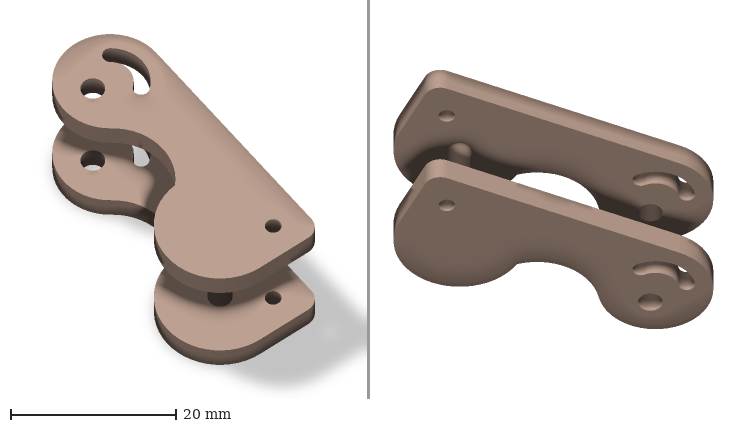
import cadquery as cq
import math

length = 40.05
total_height = 18.0
plate_thickness = 3.0

small_lobe_radius = 7.0
large_lobe_radius = 8.0
lobe_offset_y = 2.32
corner_radius = 2.0
cutout_radius = 7.6
cutout_center_x = 18.82

pin_diameter = 3.0
pivot_hole_offset_x = -0.4
small_hole_diameter = 2.0
small_hole_from_right = 3.95
small_hole_from_top = 4.33
slot_width = 2.05
slot_radius = 3.9
slot_half_angle = 52.0

small_lobe_x = small_lobe_radius
small_lobe_y = lobe_offset_y
large_lobe_x = length - large_lobe_radius
top_y = small_lobe_y + small_lobe_radius

center_distance = small_lobe_radius + cutout_radius
cutout_dx = cutout_center_x - small_lobe_x
cutout_center_y = small_lobe_y - math.sqrt(center_distance**2 - cutout_dx**2)


def polar(center_x, center_y, radius, degrees):
    """Point on a circle, with the angle counted from +X."""
    angle = math.radians(degrees)
    return center_x + radius * math.cos(angle), center_y + radius * math.sin(angle)


def cutout_lobe_corner():
    """Upper crossing of the cutout circle and the large lobe."""
    dx = large_lobe_x - cutout_center_x
    dy = -cutout_center_y
    distance = math.hypot(dx, dy)
    along = (distance**2 + cutout_radius**2 - large_lobe_radius**2) / (2 * distance)
    across = math.sqrt(cutout_radius**2 - along**2)
    corner_x = cutout_center_x + (along * dx - across * dy) / distance
    corner_y = cutout_center_y + (along * dy + across * dx) / distance
    return corner_x, corner_y


def plate_blank():
    """Two lobes joined by a straight top edge, with a round bite between them."""
    tangent_fraction = small_lobe_radius / center_distance
    tangent_point = (
        small_lobe_x + cutout_dx * tangent_fraction,
        small_lobe_y + (cutout_center_y - small_lobe_y) * tangent_fraction,
    )
    lobe_left = polar(small_lobe_x, small_lobe_y, small_lobe_radius, 180)
    cutout_top = (cutout_center_x, cutout_center_y + cutout_radius)
    lobe_bottom = (large_lobe_x, -large_lobe_radius)
    corner_middle = polar(length - corner_radius, top_y - corner_radius, corner_radius, 45)
    return (
        cq.Workplane("XY")
        .moveTo(small_lobe_x, top_y)
        .threePointArc(lobe_left, tangent_point)
        .threePointArc(cutout_top, cutout_lobe_corner())
        .threePointArc(lobe_bottom, (length, 0))
        .lineTo(length, top_y - corner_radius)
        .threePointArc(corner_middle, (length - corner_radius, top_y))
        .close()
        .extrude(plate_thickness)
    )


def arc_slot():
    """Cutter for the curved slot, concentric with the small lobe."""
    outer_radius = slot_radius + slot_width / 2
    inner_radius = slot_radius - slot_width / 2
    start = 90 - slot_half_angle
    end = 90 + slot_half_angle

    def on_slot(radius, degrees):
        return polar(small_lobe_x, small_lobe_y, radius, degrees)

    def end_cap(center_degrees, cap_degrees):
        center_x, center_y = on_slot(slot_radius, center_degrees)
        return polar(center_x, center_y, slot_width / 2, cap_degrees)

    return (
        cq.Workplane("XY")
        .moveTo(*on_slot(outer_radius, start))
        .threePointArc(on_slot(outer_radius, 90), on_slot(outer_radius, end))
        .threePointArc(end_cap(end, end + 90), on_slot(inner_radius, end))
        .threePointArc(on_slot(inner_radius, 90), on_slot(inner_radius, start))
        .threePointArc(end_cap(start, start - 90), on_slot(outer_radius, start))
        .close()
        .extrude(plate_thickness)
    )


def round_cutter(x, y, diameter):
    return cq.Workplane("XY").center(x, y).circle(diameter / 2).extrude(plate_thickness)


def make_plate(bottom_z):
    pivot_hole = round_cutter(small_lobe_x + pivot_hole_offset_x, 0, pin_diameter)
    pin_hole = round_cutter(large_lobe_x, 0, pin_diameter)
    small_hole = round_cutter(
        length - small_hole_from_right, top_y - small_hole_from_top, small_hole_diameter
    )
    plate = plate_blank().cut(arc_slot()).cut(pivot_hole).cut(pin_hole).cut(small_hole)
    return plate.translate((0, 0, bottom_z))


def make_pin():
    """Pin through both plates, flush with their outer faces."""
    return cq.Workplane("XY").center(large_lobe_x, 0).circle(pin_diameter / 2).extrude(total_height)


plates = [make_plate(bottom_z).val() for bottom_z in (0, total_height - plate_thickness)]
pin = make_pin()

result = cq.Compound.makeCompound([*plates, pin.val()])